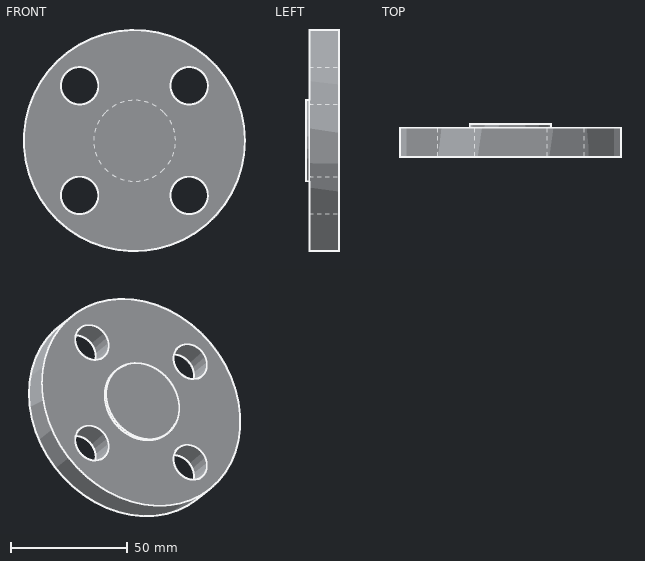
import cadquery as cq

flange_diameter = 95.25
total_thickness = 14.3
raised_face_diameter = 35.05
raised_face_height = 1.5
bolt_circle_diameter = 66.7
bolt_hole_diameter = 16.0
bolt_hole_count = 4
first_bolt_angle = 180.0 / bolt_hole_count

plate_thickness = total_thickness - raised_face_height

plate = cq.Workplane("XZ").circle(flange_diameter / 2).extrude(-plate_thickness)
raised_face = cq.Workplane("XZ").circle(raised_face_diameter / 2).extrude(-total_thickness)
bolt_holes = (
    cq.Workplane("XZ")
    .polarArray(bolt_circle_diameter / 2, first_bolt_angle, 360, bolt_hole_count)
    .circle(bolt_hole_diameter / 2)
    .extrude(-plate_thickness)
)

result = plate.union(raised_face).cut(bolt_holes)